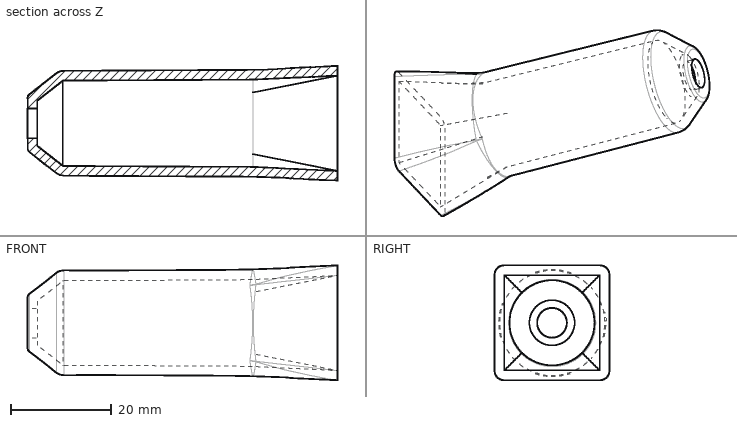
import cadquery as cq
import math

total_length = 61.94
flare_side = 23.0

barrel_end = 45.0

nose_radius = 5.5
shoulder_radius = 10.5
barrel_end_radius = 10.7
nose_slope = math.radians(38)
shoulder_x = (shoulder_radius - nose_radius) / math.tan(nose_slope)

nose_fillet = 1.0
shoulder_fillet = 2.5
flare_corner_fillet = 2.0
junction_fillet = 4.0

wall = 2.0
nose_hole_diameter = 5.9

cavity_shoulder_radius = shoulder_radius - wall
cavity_shoulder_x = shoulder_x + wall * math.tan(nose_slope / 2)
cavity_nose_radius = cavity_shoulder_radius - (cavity_shoulder_x - wall) * math.tan(nose_slope)
cavity_end_radius = barrel_end_radius - wall
cavity_flare_side = flare_side - 2 * wall

edge_tolerance = 0.1


def turned_body(start_x, tip_radius, cone_end_x, cone_end_radius, end_radius):
    """Cone widening into a slightly tapered barrel, turned about the X axis."""
    profile = (
        cq.Workplane("XY")
        .moveTo(start_x, 0)
        .lineTo(start_x, tip_radius)
        .lineTo(cone_end_x, cone_end_radius)
        .lineTo(barrel_end, end_radius)
        .lineTo(barrel_end, 0)
        .close()
    )
    return profile.revolve(360, (0, 0, 0), (1, 0, 0))


def circle_wire(x, radius):
    """Circle across the X axis made of four arcs, one facing each side of the square."""

    def point(degrees):
        angle = math.radians(degrees)
        return cq.Vector(x, radius * math.cos(angle), radius * math.sin(angle))

    arcs = []
    for middle in (-90, 0, 90, 180):
        arc = cq.Edge.makeThreePointArc(point(middle - 45), point(middle), point(middle + 45))
        arcs.append(arc)
    return cq.Wire.assembleEdges(arcs)


def square_wire(x, side):
    """Square across the X axis, starting at the same corner as the circle."""
    half = side / 2
    corners = [(-half, -half), (half, -half), (half, half), (-half, half)]
    return cq.Wire.makePolygon([cq.Vector(x, y, z) for y, z in corners], close=True)


def flare(radius, side):
    """Straight-ruled transition from the round barrel to the square open end."""
    sections = [circle_wire(barrel_end, radius), square_wire(total_length, side)]
    return cq.Workplane(obj=cq.Solid.makeLoft(sections, True))


def fillet_edges_between(part, x_min, x_max, radius):
    """Round the edges that reach exactly from x_min to x_max along the X axis."""

    def spans(edge):
        box = edge.BoundingBox()
        return abs(box.xmin - x_min) < edge_tolerance and abs(box.xmax - x_max) < edge_tolerance

    edges = [edge for edge in part.edges().vals() if spans(edge)]
    return part.newObject(edges).fillet(radius)


def outer_shape():
    """Solid nose, barrel and flare with all outside edges rounded."""
    body = turned_body(0, nose_radius, shoulder_x, shoulder_radius, barrel_end_radius)
    body = body.union(flare(barrel_end_radius, flare_side))
    body = fillet_edges_between(body, barrel_end, total_length, flare_corner_fillet)
    body = fillet_edges_between(body, barrel_end, barrel_end, junction_fillet)
    body = fillet_edges_between(body, shoulder_x, shoulder_x, shoulder_fillet)
    return fillet_edges_between(body, 0, 0, nose_fillet)


def cavity():
    """Interior following the outside at one wall thickness, open at the square end."""
    barrel = turned_body(
        wall, cavity_nose_radius, cavity_shoulder_x, cavity_shoulder_radius, cavity_end_radius
    )
    return barrel.union(flare(cavity_end_radius, cavity_flare_side))


def nose_hole():
    """Round hole through the nose wall into the cavity."""
    return cq.Workplane("YZ").circle(nose_hole_diameter / 2).extrude(2 * wall)


result = outer_shape().cut(cavity()).cut(nose_hole())